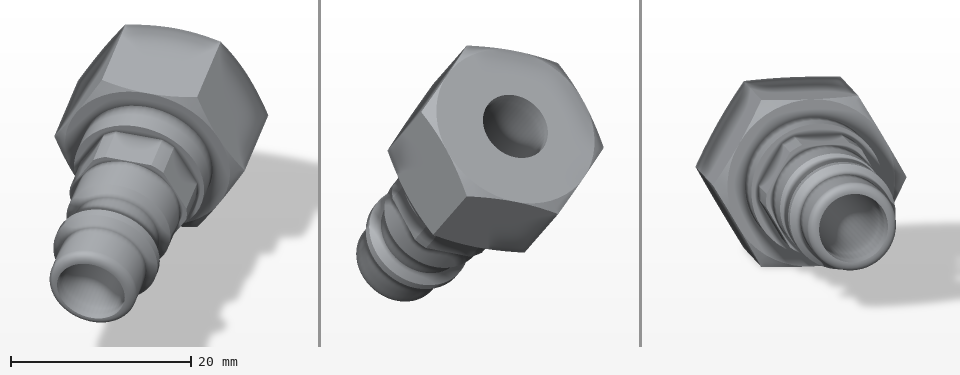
import cadquery as cq
import math

HEX_FLATS_TO_CORNERS = math.cos(math.pi / 6)

rib_front_start = 5.0
rib_front_end = 6.0
rib_back_start = 7.0
rib_back_end = 8.0
groove_end = 10.35
collar_start = 11.4
wrench_start = 15.5
flange_start = 20.0
nut_start = 23.5
part_length = 35.0

nose_radius = 5.0
collar_radius = 6.0
flange_radius = 7.5
bore_radius = 3.9
tip_round = 1.0

wrench_flats = 12.4
wrench_corner_diameter = 13.5

nut_flats = 19.0
nut_chamfer_angle = 30.0


def cylinder(radius, start, end):
    """Solid cylinder on the Y axis between two stations."""
    plane = cq.Workplane("XZ", origin=(0, start, 0))
    return plane.circle(radius).extrude(start - end)


def hexagon(across_flats, start, end):
    """Hexagonal prism on the Y axis, with flats on top and bottom and corners at +-X."""
    across_corners = across_flats / HEX_FLATS_TO_CORNERS
    plane = cq.Workplane("XZ", origin=(0, start, 0))
    return plane.polygon(6, across_corners).extrude(start - end)


def revolve_profile(profile):
    """Revolve a closed outline drawn in (radius, Y) about the Y axis."""
    return profile.close().revolve(360, (0, 0, 0), (0, 1, 0))


def make_plug():
    """Turned plug: rounded nose, locking rib, groove and collar."""
    round_mid = tip_round * math.sqrt(0.5)
    profile = (
        cq.Workplane("XY")
        .lineTo(nose_radius - tip_round, 0)
        .threePointArc(
            (nose_radius - tip_round + round_mid, tip_round - round_mid),
            (nose_radius, tip_round),
        )
        .lineTo(nose_radius, rib_front_start)
        .lineTo(collar_radius, rib_front_end)
        .lineTo(collar_radius, rib_back_start)
        .lineTo(nose_radius, rib_back_end)
        .lineTo(nose_radius, groove_end)
        .lineTo(collar_radius, collar_start)
        .lineTo(collar_radius, wrench_start)
        .lineTo(0, wrench_start)
    )
    return revolve_profile(profile)


def make_wrench_section():
    """Small hexagon whose corners are turned to a cylinder."""
    corner_limit = cylinder(wrench_corner_diameter / 2, wrench_start, flange_start)
    return hexagon(wrench_flats, wrench_start, flange_start).intersect(corner_limit)


def make_nut():
    """Large hexagon with its corners chamfered at both ends."""
    face_radius = nut_flats / 2
    corner_radius = face_radius / HEX_FLATS_TO_CORNERS
    chamfer_length = (corner_radius - face_radius) * math.tan(math.radians(nut_chamfer_angle))
    profile = (
        cq.Workplane("XY")
        .moveTo(0, nut_start)
        .lineTo(face_radius, nut_start)
        .lineTo(corner_radius, nut_start + chamfer_length)
        .lineTo(corner_radius, part_length - chamfer_length)
        .lineTo(face_radius, part_length)
        .lineTo(0, part_length)
    )
    return hexagon(nut_flats, nut_start, part_length).intersect(revolve_profile(profile))


body = (
    make_plug()
    .union(make_wrench_section())
    .union(cylinder(flange_radius, flange_start, nut_start))
    .union(make_nut())
)
result = body.cut(cylinder(bore_radius, 0, part_length))